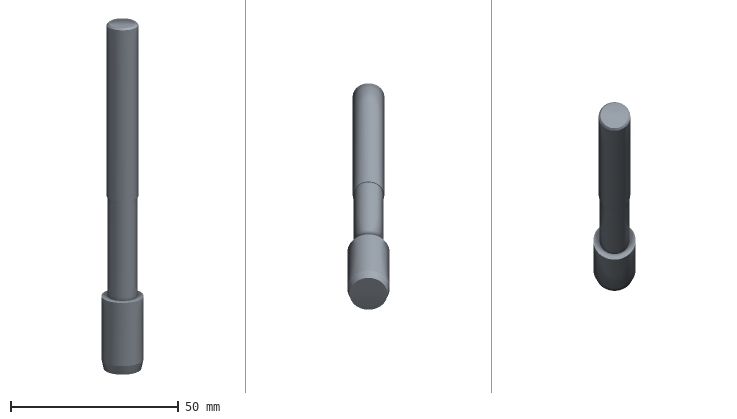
import cadquery as cq

total_length = 110.0
tip_length = 11.0
collar_top = 23.1
shank_start = 54.9
taper_height = 3.0
tip_start = total_length - tip_length

shank_diameter = 9.5
neck_diameter = 8.9
collar_diameter = 12.6
foot_diameter = 11.3

tip_chamfer = 0.5


def make_rod():
    """Stepped rod: tapered foot, collar, neck and shank, revolved about Z."""
    collar_radius = collar_diameter / 2
    neck_radius = neck_diameter / 2
    shank_radius = shank_diameter / 2
    return (
        cq.Workplane("XZ")
        .lineTo(foot_diameter / 2, 0)
        .lineTo(collar_radius, taper_height)
        .lineTo(collar_radius, collar_top)
        .lineTo(neck_radius, collar_top)
        .lineTo(neck_radius, shank_start)
        .lineTo(shank_radius, shank_start)
        .lineTo(shank_radius, tip_start)
        .lineTo(0, tip_start)
        .close()
        .revolve(360, (0, 0), (0, 1))
    )


def make_tip():
    """Cylindrical end piece, flush with the shank and chamfered at the top."""
    return (
        cq.Workplane("XY", origin=(0, 0, tip_start))
        .circle(shank_diameter / 2)
        .extrude(tip_length)
        .faces(">Z")
        .edges()
        .chamfer(tip_chamfer)
    )


rod = make_rod()
tip = make_tip()

result = cq.Compound.makeCompound([rod.val(), tip.val()])